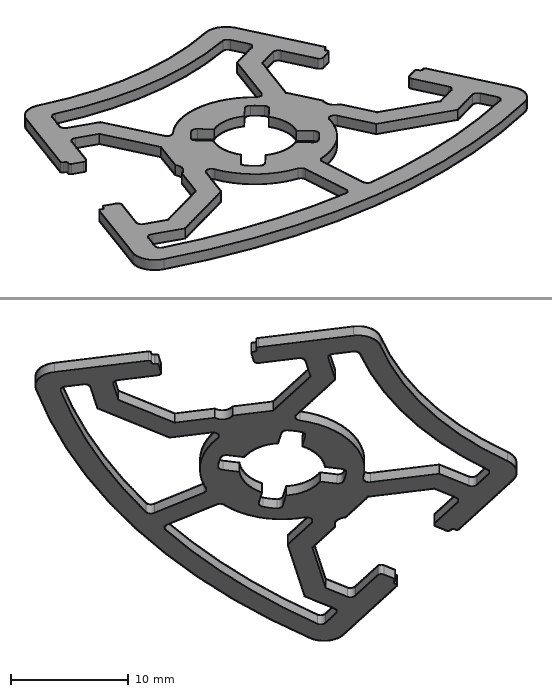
import cadquery as cq
import math

sector_angle = 45.0
half_angle = sector_angle / 2
outer_radius = 60.0
inner_radius = outer_radius / 2
mid_radius = (outer_radius + inner_radius) / 2
thickness = 1.0

wall = 2.0
lip = 2.2
outer_corner_radius = 2.0
pocket_corner_radius = 0.5

slot_opening_half = 4.05
slot_half_width = 8.35
slot_floor_half = 4.3
slot_depth = 8.98
slope_angle = 45.0
slot_corner_radius = 0.5
lip_edge_radius = 0.37
notch_size = 0.55
notch_half = slot_opening_half + notch_size
notch_radius = 0.2
groove_half_width = 0.8
groove_depth = 0.37

hub_radius = 7.03
bore_radius = 3.65
key_width = 2.08
key_radius = 5.5
key_corner_radius = 0.5

hub_x = mid_radius * math.cos(math.radians(half_angle))
hub_y = mid_radius * math.sin(math.radians(half_angle))


def polar(radius, angle):
    """Point at a radius and an angle in degrees about the sector centre."""
    return (radius * math.cos(math.radians(angle)), radius * math.sin(math.radians(angle)))


def sector(small_radius, large_radius, inset):
    """Ring sector whose flat sides are moved inward by the inset."""
    small_start = math.degrees(math.asin(inset / small_radius))
    large_start = math.degrees(math.asin(inset / large_radius))
    return (
        cq.Workplane("XY")
        .moveTo(*polar(small_radius, small_start))
        .lineTo(*polar(large_radius, large_start))
        .threePointArc(
            polar(large_radius, half_angle),
            polar(large_radius, sector_angle - large_start),
        )
        .lineTo(*polar(small_radius, sector_angle - small_start))
        .threePointArc(polar(small_radius, half_angle), polar(small_radius, small_start))
        .close()
        .extrude(thickness)
    )


def on_both_sides(body):
    """Join a body on the first flat side with its mirror image on the second."""
    mirrored = body.mirror("XZ").rotate((0, 0, 0), (0, 0, 1), sector_angle)
    return body.union(mirrored)


def chamber_bends(growth):
    """Bends of the chamber wall on one side of the slot, as (across, depth) pairs."""
    half_width = slot_half_width + growth
    depth = slot_depth + growth
    floor_half = slot_floor_half + growth * math.tan(math.radians(slope_angle / 2))
    slope_rise = (half_width - floor_half) * math.tan(math.radians(slope_angle))
    return [(half_width, depth - slope_rise), (floor_half, depth)]


def slot_chamber(growth):
    """Wide part of the T-slot with its side, sloped and deep walls moved out by the growth."""
    right_side = [(slot_half_width + growth, lip)] + chamber_bends(growth)
    left_side = [(-across, depth) for across, depth in reversed(right_side)]
    return (
        cq.Workplane("XY", origin=(mid_radius, 0, 0))
        .polyline(right_side + left_side)
        .close()
        .extrude(thickness)
    )


def vertical_edges_at(body, points):
    """Vertical edges of the body that pass through any of the given points."""
    tolerance = 0.005

    def passes_through_point(edge):
        center = edge.Center()
        return any(math.hypot(center.x - x, center.y - y) < tolerance for x, y in points)

    return body.edges("|Z").filter(passes_through_point)


def t_slot_cut():
    """Open T-slot with stepped lip edges and a shallow round groove in its deep wall."""
    slot_frame = cq.Workplane("XY", origin=(mid_radius, 0, 0))
    opening = slot_frame.rect(2 * slot_opening_half, 2 * lip).extrude(thickness)
    notches = slot_frame.rect(2 * notch_half, 2 * notch_size).extrude(thickness)
    groove = (
        slot_frame.moveTo(-groove_half_width, slot_depth)
        .threePointArc((0, slot_depth + groove_depth), (groove_half_width, slot_depth))
        .close()
        .extrude(thickness)
    )
    return slot_chamber(0).union(opening).union(notches).union(groove)


def mirrored_points(points):
    """Points given from the slot centreline, placed on both halves and both flat sides."""
    placed = []
    for across, depth in points:
        for x in (mid_radius - across, mid_radius + across):
            placed.append((x, depth))
            radius = math.hypot(x, depth)
            angle = math.degrees(math.atan2(depth, x))
            placed.append(polar(radius, sector_angle - angle))
    return placed


def rounded_plate():
    """Sector outline with both T-slots cut and rounded corners and lips."""
    plate = sector(inner_radius, outer_radius, 0)
    plate = plate.edges("|Z").fillet(outer_corner_radius)
    plate = plate.cut(on_both_sides(t_slot_cut()))
    roundings = [
        ([(slot_half_width, lip)], slot_corner_radius),
        ([(slot_opening_half, lip)], lip_edge_radius),
        (
            [(slot_opening_half, notch_size), (notch_half, notch_size), (notch_half, 0)],
            notch_radius,
        ),
    ]
    for corners, radius in roundings:
        plate = vertical_edges_at(plate, mirrored_points(corners)).fillet(radius)
    return plate


def pockets():
    """Three through pockets left between the outer walls, slot webs, hub and rib."""
    body = sector(inner_radius + wall, outer_radius - wall, lip)
    body = body.cut(on_both_sides(slot_chamber(wall)))
    hub = cq.Workplane("XY").center(hub_x, hub_y).circle(hub_radius).extrude(thickness)
    rib_length = outer_radius - mid_radius
    rib = (
        cq.Workplane("XY")
        .center(mid_radius + rib_length / 2, 0)
        .rect(rib_length, wall)
        .extrude(thickness)
        .rotate((0, 0, 0), (0, 0, 1), half_angle)
    )
    body = body.cut(hub).cut(rib)

    web_bends = vertical_edges_at(body, mirrored_points(chamber_bends(wall))).vals()
    corners = body.edges("|Z").filter(lambda edge: edge not in web_bends)
    return corners.fillet(pocket_corner_radius)


def keyed_bore():
    """Round bore with four evenly spaced keyways, cut by two crossing bars."""
    reach = cq.Workplane("XY").circle(key_radius).extrude(thickness)
    key_bar = (
        cq.Workplane("XY")
        .rect(2 * key_radius, key_width)
        .extrude(thickness)
        .intersect(reach)
        .edges("|Z")
        .fillet(key_corner_radius)
    )
    bore = cq.Workplane("XY").circle(bore_radius).extrude(thickness)
    for key_angle in (-half_angle, 90 - half_angle):
        bore = bore.union(key_bar.rotate((0, 0, 0), (0, 0, 1), key_angle))
    return bore.translate((hub_x, hub_y, 0))


result = rounded_plate().cut(pockets()).cut(keyed_bore())